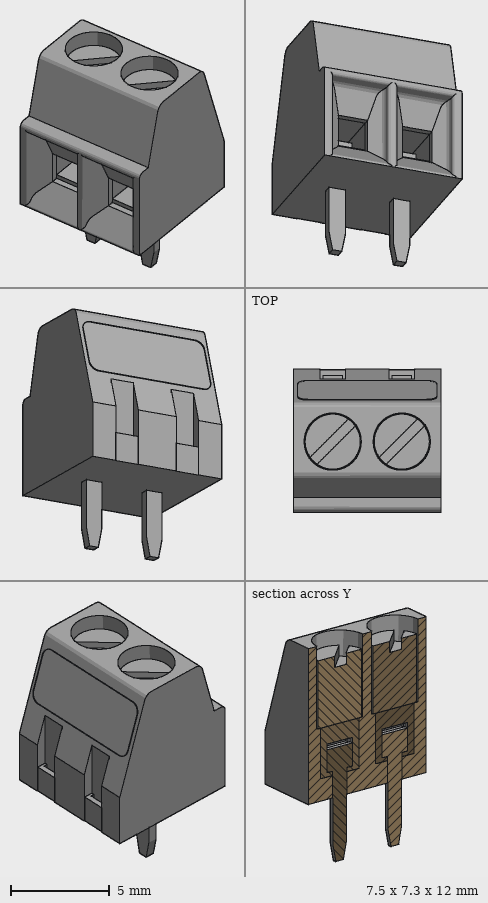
import cadquery as cq
import math


pole_pitch = 3.5
pole_positions = (-pole_pitch / 2, pole_pitch / 2)

housing_width = 7.5
housing_height = 8.5
front_y = -3.6
back_y = 3.7
ledge_depth = 0.75
ledge_z = 5.1
ledge_radius = 0.3
front_slope_angle = 15
back_slope_z = 2.9
back_slope_top_y = 1.86
crown_radius = 0.5

mouth_width = 3.38
mouth_top_z = ledge_z - ledge_radius
mouth_lip_radius = 0.19
funnel_depth = 1.15
funnel_back_y = front_y + funnel_depth
funnel_corner_radius = 0.5
funnel_flare_angle = 45
funnel_roof_angle = 75
sill_radius = 0.15
window_width = 1.6
window_bottom_z = 1.25
window_top_z = 3

clamp_width = 2.4
clamp_front_y = -2.1
clamp_depth = 2 * abs(clamp_front_y)
clamp_top_z = 4.0
clamp_floor = 0.23
clamp_floor_z = window_bottom_z + clamp_floor
groove_width = 1.39
groove_radius = 0.22

screw_diameter = 2.8
screw_top_z = 7.69
slot_width = 0.5
slot_depth = 0.6
slot_angle = 45
screw_hole_diameter = 2.9

pin_width = 0.9
pin_thickness = 0.5
pin_length = 3.5
pin_tip_width = 0.5
pin_tip_length = 1.0
pin_head_top_z = 2.72

label_width = 7.05
label_length = 3.05
label_radius = 0.5
label_thickness = 0.05
label_center_y = 2.58

recess_width = 1.3
recess_wall_y = 3.17
recess_floor_z = 1.5
relief_depth = 0.04
well_width = 1.0
well_depth = 0.19
well_height = 0.5

overrun = 0.6


def rounded_outline(plane, corners):
    """Closed outline from (u, v, radius) corners, each rounded by a tangent arc; radius 0 is sharp."""
    outline = cq.Workplane(plane)
    for index, (u, v, radius) in enumerate(corners):
        corner = cq.Vector(u, v)
        to_previous = (cq.Vector(*corners[index - 1][:2]) - corner).normalized()
        to_next = (cq.Vector(*corners[(index + 1) % len(corners)][:2]) - corner).normalized()
        half_angle = to_previous.getAngle(to_next) / 2
        setback = radius / math.tan(half_angle)
        center_distance = radius / math.sin(half_angle)
        bisector = (to_previous + to_next).normalized()
        arc_start = (corner + to_previous * setback).toTuple()[:2]
        arc_middle = (corner + bisector * (center_distance - radius)).toTuple()[:2]
        arc_end = (corner + to_next * setback).toTuple()[:2]
        outline = outline.moveTo(*arc_start) if index == 0 else outline.lineTo(*arc_start)
        if radius > 0:
            outline = outline.threePointArc(arc_middle, arc_end)
    return outline.close()


def box(x_center, width, y_range, z_range):
    """Block of the given width centred on x_center, spanning the Y and Z ranges."""
    depth = y_range[1] - y_range[0]
    height = z_range[1] - z_range[0]
    block = cq.Workplane("XY").box(width, depth, height, centered=(True, False, False))
    return block.translate((x_center, y_range[0], z_range[0]))


def housing_body():
    ledge_y = front_y + ledge_depth
    front_slope_run = (housing_height - ledge_z) * math.tan(math.radians(front_slope_angle))
    corners = [
        (front_y, 0, 0),
        (front_y, ledge_z, ledge_radius),
        (ledge_y, ledge_z, 0),
        (ledge_y + front_slope_run, housing_height, crown_radius),
        (back_slope_top_y, housing_height, crown_radius),
        (back_y, back_slope_z, 0),
        (back_y, 0, 0),
    ]
    return rounded_outline("YZ", corners).extrude(housing_width / 2, both=True)


def label_plate():
    slope_run = back_y - back_slope_top_y
    slope_rise = housing_height - back_slope_z
    center_z = back_slope_z + (back_y - label_center_y) * slope_rise / slope_run
    slope_plane = cq.Plane(
        origin=(0, label_center_y, center_z),
        xDir=(-1, 0, 0),
        normal=(0, slope_rise, slope_run),
    )
    half_width = label_width / 2
    half_length = label_length / 2
    corners = [
        (-half_width, -half_length, label_radius),
        (half_width, -half_length, label_radius),
        (half_width, half_length, label_radius),
        (-half_width, half_length, label_radius),
    ]
    return rounded_outline(slope_plane, corners).extrude(label_thickness)


def wire_funnel(x_center):
    """Crossing of a plan outline and a side outline, so the walls meet in mitred corners."""
    outside_y = front_y - overrun
    half_window = window_width / 2
    half_throat = mouth_width / 2 - mouth_lip_radius
    flare_run = (half_throat - half_window) / math.tan(math.radians(funnel_flare_angle))
    right_side = [
        (mouth_width, outside_y, 0),
        (mouth_width, front_y, 0),
        (half_throat, front_y, mouth_lip_radius),
        (half_throat, funnel_back_y - flare_run, funnel_corner_radius),
        (half_window, funnel_back_y, 0),
        (half_window, clamp_front_y, 0),
    ]
    left_side = [(-x, y, radius) for x, y, radius in reversed(right_side)]
    plan = rounded_outline("XY", right_side + left_side).extrude(housing_height, both=True)

    throat_top_z = mouth_top_z - mouth_lip_radius
    roof_run = (throat_top_z - window_top_z) / math.tan(math.radians(funnel_roof_angle))
    sill_z = window_bottom_z - funnel_depth * math.tan(math.radians(funnel_flare_angle))
    side_corners = [
        (outside_y, -overrun, 0),
        (front_y, -overrun, 0),
        (front_y, sill_z, sill_radius),
        (funnel_back_y, window_bottom_z, 0),
        (clamp_front_y, window_bottom_z, 0),
        (clamp_front_y, window_top_z, 0),
        (funnel_back_y, window_top_z, 0),
        (funnel_back_y - roof_run, throat_top_z, funnel_corner_radius),
        (front_y, throat_top_z, mouth_lip_radius),
        (front_y, housing_height, 0),
        (outside_y, housing_height, 0),
    ]
    side = rounded_outline("YZ", side_corners).extrude(housing_width, both=True)
    return plan.intersect(side).translate((x_center, 0, 0))


def clamp_envelope(x_center):
    y_range = (clamp_front_y, clamp_front_y + clamp_depth)
    return box(x_center, clamp_width, y_range, (window_bottom_z, clamp_top_z))


def pin_shank_block(x_center):
    """Straight part of the pin, from the end of the taper up to the clamp floor."""
    y_range = (-pin_thickness / 2, pin_thickness / 2)
    return box(x_center, pin_width, y_range, (pin_tip_length - pin_length, clamp_floor_z))


def screw_hole(x_center):
    hole = cq.Workplane("XY", origin=(x_center, 0, clamp_top_z)).circle(screw_hole_diameter / 2)
    return hole.extrude(housing_height - clamp_top_z)


def back_recess(x_center):
    """Shallow relief down the back face, with a pocket and a narrower well above its floor."""
    outside_y = back_y + overrun
    relief = box(x_center, recess_width, (back_y - relief_depth, outside_y), (0, housing_height))
    pocket = box(x_center, recess_width, (recess_wall_y, outside_y), (recess_floor_z, housing_height))
    well_y_range = (recess_wall_y, recess_wall_y + well_depth)
    well = box(x_center, well_width, well_y_range, (recess_floor_z - well_height, recess_floor_z))
    return relief.union(pocket).union(well)


def make_housing():
    housing = housing_body().union(label_plate())
    for x_center in pole_positions:
        housing = housing.cut(wire_funnel(x_center))
        housing = housing.cut(clamp_envelope(x_center))
        housing = housing.cut(screw_hole(x_center))
        housing = housing.cut(pin_shank_block(x_center))
        housing = housing.cut(back_recess(x_center))
    return housing


def make_clamp(x_center):
    """Block with a wire chamber open to the front and a rounded groove high in the chamber's back wall."""
    chamber_back_y = pin_thickness / 2
    chamber_y_range = (clamp_front_y, chamber_back_y)
    chamber = box(x_center, window_width, chamber_y_range, (clamp_floor_z, window_top_z))
    groove_start_x = x_center - groove_width / 2
    groove = cq.Workplane("YZ", origin=(groove_start_x, chamber_back_y, pin_head_top_z))
    groove = groove.lineTo(groove_radius, 0).radiusArc((0, groove_radius), -groove_radius).close()
    groove = groove.extrude(groove_width)
    return clamp_envelope(x_center).cut(chamber).cut(groove).cut(pin_shank_block(x_center))


def make_screw(x_center):
    screw = cq.Workplane("XY", origin=(x_center, 0, clamp_top_z)).circle(screw_diameter / 2)
    screw = screw.extrude(screw_top_z - clamp_top_z)
    slot = cq.Workplane("XY").box(2 * screw_diameter, slot_width, 2 * slot_depth)
    slot = slot.rotate((0, 0, 0), (0, 0, 1), slot_angle).translate((x_center, 0, screw_top_z))
    return screw.cut(slot)


def make_pin(x_center):
    """Flat pin with a tapered tip below and a wide head standing on the clamp floor."""
    tip = cq.Workplane("XZ", origin=(x_center, 0, 0)).polyline([
        (-pin_tip_width / 2, -pin_length),
        (pin_tip_width / 2, -pin_length),
        (pin_width / 2, pin_tip_length - pin_length),
        (-pin_width / 2, pin_tip_length - pin_length),
    ])
    tip = tip.close().extrude(pin_thickness / 2, both=True)
    head_y_range = (-pin_thickness / 2, pin_thickness / 2)
    head = box(x_center, window_width, head_y_range, (clamp_floor_z, pin_head_top_z))
    return pin_shank_block(x_center).union(tip).union(head)


housing = make_housing()
clamps = [make_clamp(x_center) for x_center in pole_positions]
screws = [make_screw(x_center) for x_center in pole_positions]
pins = [make_pin(x_center) for x_center in pole_positions]

bodies = [housing, *clamps, *screws, *pins]
result = cq.Compound.makeCompound([body.solids().val() for body in bodies])